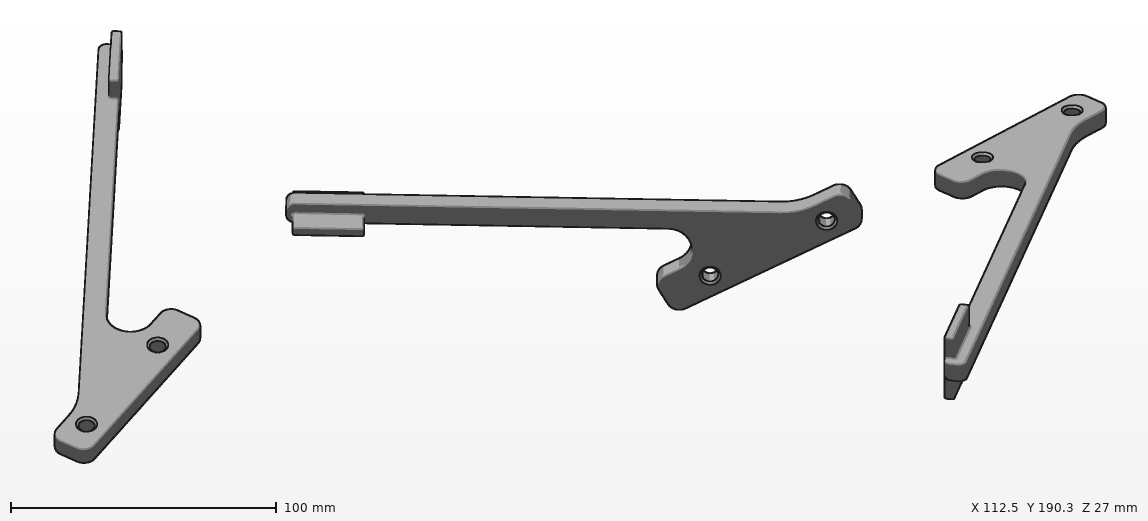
import cadquery as cq
import math

overall_width = 112.5
overall_length = 190.3

plate_thickness = 8.0
foot_width = 17.1
foot_length = 82.8
foot_corner_radius = 5.0
hole_diameter = 6.0
hole_rim_chamfer = 1.0
hole_spacing = 50.0
lower_hole_y = 12.5

arm_angle = math.radians(60)
arm_width = 9.0
tip_corner_radius = 3.0
notch_radius = 9.0
heel_radius = 24.7

tab_height = 27.0
tab_length = 27.0
tab_thickness = 4.0
tab_tip_gap = 2.5

edge_radius = 1.0

tolerance = 0.002

along = cq.Vector(-math.cos(arm_angle), math.sin(arm_angle))
across = cq.Vector(math.sin(arm_angle), math.cos(arm_angle))

rounding_loss = tip_corner_radius * (math.sin(arm_angle) + math.cos(arm_angle) - 1)
tip_outer = cq.Vector(
    -overall_width - rounding_loss,
    overall_length + rounding_loss - arm_width * across.y,
)
tip_inner = tip_outer + across * arm_width


def meet_foot_front(tip_corner):
    """Point where the arm edge from a tip corner meets the front line of the foot."""
    run = -foot_width - tip_corner.x
    return (-foot_width, tip_corner.y - run * math.tan(arm_angle))


def round_corners(plate, corners, radius):
    """Round the upright plate edges at the given outline corners."""
    for x, y in corners:
        plate = plate.edges(cq.selectors.NearestToPointSelector((x, y, 0))).fillet(radius)
    return plate


def bracket_plate():
    """Flat foot and arm in one piece, with rounded corners and rims."""
    heel = meet_foot_front(tip_outer)
    notch = meet_foot_front(tip_inner)
    back_corners = [(0, 0), (0, foot_length)]
    front_corners = [(-foot_width, foot_length), (-foot_width, 0)]
    tip_corners = [(tip_inner.x, tip_inner.y), (tip_outer.x, tip_outer.y)]
    outline = [*back_corners, front_corners[0], notch, *tip_corners, heel, front_corners[1]]

    plate = cq.Workplane("XY").polyline(outline).close().extrude(plate_thickness / 2, both=True)
    plate = round_corners(plate, back_corners + front_corners, foot_corner_radius)
    plate = round_corners(plate, tip_corners, tip_corner_radius)
    plate = round_corners(plate, [notch], notch_radius)
    plate = round_corners(plate, [heel], heel_radius)
    return plate.faces("|Z").edges().fillet(edge_radius)


def tip_tab():
    """Thin upright block with rounded edges, lined up with the arm."""
    center = tip_inner - across * (tab_thickness / 2) - along * (tab_tip_gap + tab_length / 2)
    block = cq.Workplane("XY").box(tab_length, tab_thickness, tab_height).edges().fillet(edge_radius)
    return block.rotate((0, 0, 0), (0, 0, 1), -math.degrees(arm_angle)).translate(center)


def join_with_fillet(plate, tab):
    """Join the tab to the plate and fillet the inside corners at its base."""
    def is_base_edge(edge):
        middle = edge.Center()
        is_level = edge.BoundingBox().zlen < tolerance
        on_arm_face = abs(abs(middle.z) - plate_thickness / 2) < tolerance
        gap_to_tab = tab.val().distance(cq.Vertex.makeVertex(*middle.toTuple()))
        return is_level and on_arm_face and gap_to_tab < tolerance

    return plate.union(tab).edges().filter(is_base_edge).fillet(edge_radius)


def mounting_holes():
    """Two through holes with chamfered rims on both faces, centred across the foot."""
    half_thickness = plate_thickness / 2
    bore_radius = hole_diameter / 2
    rim_radius = bore_radius + hole_rim_chamfer
    bore_end = half_thickness - hole_rim_chamfer
    half_section = [
        (0, -half_thickness),
        (rim_radius, -half_thickness),
        (bore_radius, -bore_end),
        (bore_radius, bore_end),
        (rim_radius, half_thickness),
        (0, half_thickness),
    ]
    hole = cq.Workplane("XZ").polyline(half_section).close().revolve(360, (0, 0), (0, 1))
    lower_hole = hole.translate((-foot_width / 2, lower_hole_y, 0))
    return lower_hole.union(lower_hole.translate((0, hole_spacing, 0)))


result = join_with_fillet(bracket_plate(), tip_tab()).cut(mounting_holes()).solids()